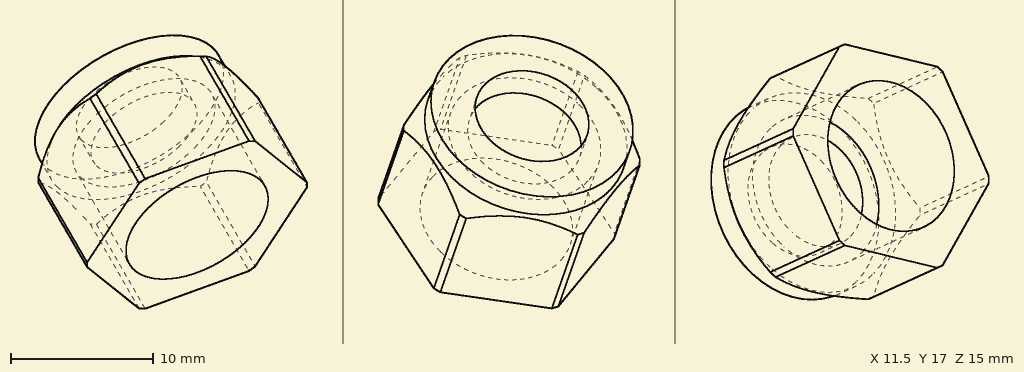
import cadquery as cq

corner_width = 17.0
flats_width = 15.0
total_length = 11.5
collar_length = 2.0
collar_diameter = 14.57

entry_diameter = 8.2
entry_length = 2.48
rear_diameter = 11.0

collar_radius = collar_diameter / 2
corner_radius = corner_width / 2
chamfer = corner_radius - collar_radius


def hex_prism(width):
    """Hexagonal bar over the full length, with two flats facing along Y."""
    sides = 6
    return cq.Workplane("YZ").polygon(sides, width, circumscribed=True).extrude(total_length)


def trimmed_corners():
    """Bar whose flats trim the six corners of the hexagon."""
    return hex_prism(corner_width)


def hexagon():
    """Main hexagon, turned so two flats face up and down and two corners point along Y."""
    half_pitch_angle = 30
    return hex_prism(flats_width).rotate((0, 0, 0), (1, 0, 0), half_pitch_angle)


def turned_envelope():
    """Collar and cone, with a rear cylinder clear of the hexagon corners."""
    clear_radius = corner_width
    return (
        cq.Workplane("XY")
        .moveTo(0, 0)
        .lineTo(0, collar_radius)
        .lineTo(collar_length, collar_radius)
        .lineTo(collar_length + chamfer, corner_radius)
        .lineTo(collar_length + chamfer, clear_radius)
        .lineTo(total_length, clear_radius)
        .lineTo(total_length, 0)
        .close()
        .revolve(360, (0, 0, 0), (1, 0, 0))
    )


def bore(diameter, start, end):
    """Cylinder along X between two positions."""
    return cq.Workplane("YZ", origin=(start, 0, 0)).circle(diameter / 2).extrude(end - start)


body = hexagon().intersect(trimmed_corners()).intersect(turned_envelope())
entry = bore(entry_diameter, 0, entry_length)
rear = bore(rear_diameter, entry_length, total_length)
result = body.cut(entry).cut(rear)